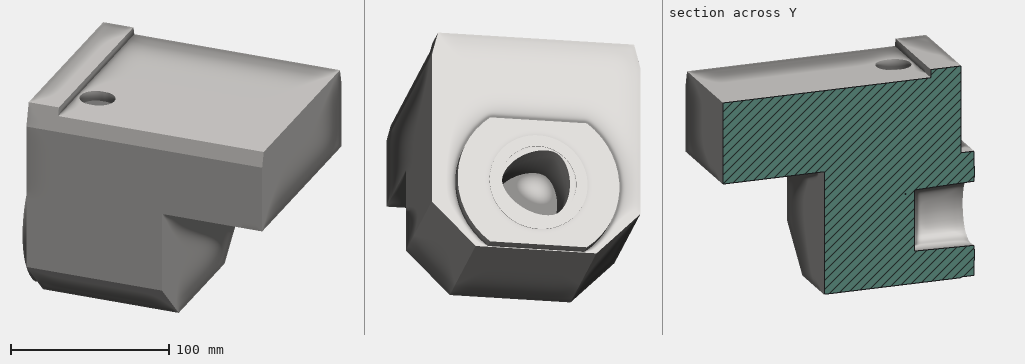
import cadquery as cq
import math

overall_length = 170.0
body_width = 134.0
body_height = 142.0
body_front_x = 9.2
top_width = 126.0
top_bevel_height = 15.3
bottom_chamfer = 28.2
lower_body_length = 92.5
overhang_underside_z = 82.0
front_rib_length = 20.6
front_rib_height = 5.4

spindle_z = 42.2
flange_diameter = 104.0
flange_across_flats = 83.4
ring_diameter = 63.0
ring_height = 0.5
ring_bore_diameter = 48.5

socket_mouth_radius = 21.8
socket_end_radius = 20.8
socket_lobe = 1.6
socket_depth = 40.0

slot_width = 20.4
slot_length = 23.0
slot_depth = 6.7
slot_x = 43.2
slot_y = -31.0


def make_body():
    half_width = body_width / 2
    cross_section = [
        (half_width - bottom_chamfer, 0),
        (half_width, bottom_chamfer),
        (half_width, body_height - top_bevel_height),
        (top_width / 2, body_height),
        (0, body_height),
        (0, 0),
    ]
    prism = (
        cq.Workplane("YZ", origin=(body_front_x, 0, 0))
        .polyline(cross_section)
        .close()
        .extrude(overall_length - body_front_x)
    )
    prism = prism.union(prism.mirror("XZ"))

    rib_back_x = body_front_x + front_rib_length
    lower_back_x = body_front_x + lower_body_length
    top_z = body_height - front_rib_height
    side_profile = [
        (body_front_x, 0),
        (lower_back_x, 0),
        (lower_back_x, overhang_underside_z),
        (overall_length, overhang_underside_z),
        (overall_length, top_z),
        (rib_back_x, top_z),
        (rib_back_x, body_height),
        (body_front_x, body_height),
    ]
    side_envelope = (
        cq.Workplane("XZ").polyline(side_profile).close().extrude(body_width / 2, both=True)
    )
    return prism.intersect(side_envelope)


def spindle_plane(x):
    return cq.Workplane("YZ", origin=(x, 0, spindle_z))


def make_flange():
    thickness = body_front_x - ring_height
    disc = spindle_plane(ring_height).circle(flange_diameter / 2).extrude(thickness)
    flats = spindle_plane(ring_height).rect(flange_diameter, flange_across_flats).extrude(thickness)
    ring = spindle_plane(0).circle(ring_diameter / 2).extrude(ring_height)
    return disc.intersect(flats).union(ring)


def lobed_outline(mean_radius):
    """Closed curve of constant width with three lobes, one pointing to +Y."""

    def point(t):
        angle = 2 * math.pi * t
        across = mean_radius * math.cos(angle) + socket_lobe * (
            2 * math.cos(2 * angle) - math.cos(4 * angle)
        )
        up = mean_radius * math.sin(angle) - socket_lobe * (
            2 * math.sin(2 * angle) + math.sin(4 * angle)
        )
        return (across, up)

    return point


def make_socket():
    recess = spindle_plane(0).circle(ring_bore_diameter / 2).extrude(ring_height)
    taper = (
        spindle_plane(ring_height)
        .parametricCurve(lobed_outline(socket_mouth_radius))
        .workplane(offset=socket_depth)
        .parametricCurve(lobed_outline(socket_end_radius))
        .loft(ruled=True)
    )
    return recess.union(taper)


def make_top_slot():
    top_z = body_height - front_rib_height
    return (
        cq.Workplane("XY", origin=(slot_x, slot_y, top_z - slot_depth))
        .slot2D(slot_length, slot_width)
        .extrude(slot_depth)
    )


result = make_body().union(make_flange()).cut(make_socket()).cut(make_top_slot())